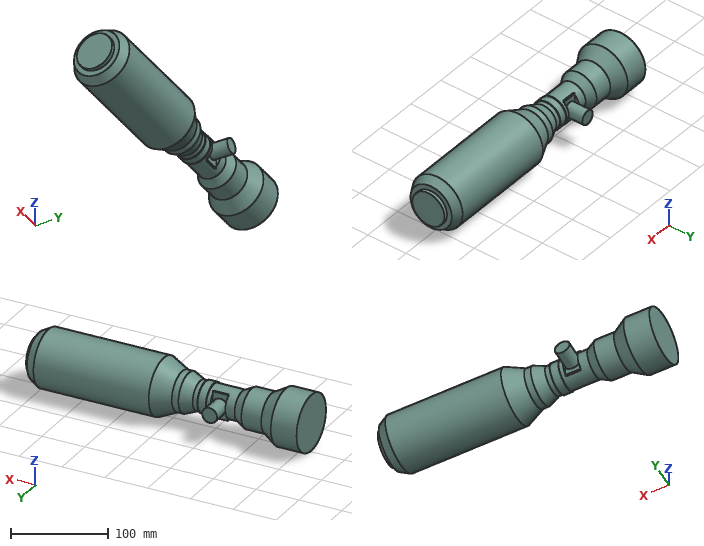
import cadquery as cq

total_length = 322.0

bell_end = 30.0
front_collar_start = 46.5
front_collar_end = 69.5
tube_start = 80.5
ring_start = 113.5
ring_end = 123.5
tube_end = 129.5
rear_collar_start = 143.0
rear_collar_end = 150.5
barrel_start = 172.2
barrel_end = 306.8
cap_start = 317.5

bell_radius = 32.5
collar_radius = 23.0
tube_radius = 17.0
ring_radius = 18.0
barrel_radius = 33.0
barrel_tip_radius = 27.0
cap_radius = 21.0

knob_x = 100.0
knob_radius = 8.7
knob_width = 2 * knob_radius
knob_reach = 34.93
notch_floor_y = 9.5
foot_thickness = 2.0
foot_height = 30.3
foot_top_y = notch_floor_y + foot_thickness


def notch_slab(thickness, height):
    """Slab as wide as the knob, standing on the notch floor and centred on the scope axis."""
    return cq.Workplane("XY").box(
        knob_width, thickness, height, centered=(True, False, True)
    ).translate((knob_x, notch_floor_y, 0))


def make_scope():
    """Turned scope body with a flat-floored notch for the knob."""
    profile = [
        (0, bell_radius),
        (bell_end, bell_radius),
        (front_collar_start, collar_radius),
        (front_collar_end, collar_radius),
        (tube_start, tube_radius),
        (ring_start, tube_radius),
        (ring_start, ring_radius),
        (ring_end, ring_radius),
        (ring_end, tube_radius),
        (tube_end, tube_radius),
        (rear_collar_start, collar_radius),
        (rear_collar_end, collar_radius),
        (barrel_start, barrel_radius),
        (barrel_end, barrel_radius),
        (cap_start, barrel_tip_radius),
        (cap_start, cap_radius),
        (total_length, cap_radius),
    ]
    turned = (
        cq.Workplane("XY")
        .polyline([(0, 0), *profile, (total_length, 0)])
        .close()
        .revolve(360, (0, 0, 0), (1, 0, 0))
    )
    return turned.cut(notch_slab(tube_radius, 2 * tube_radius))


def make_knob():
    """Round stem on a rectangular foot that rests on the notch floor."""
    foot = notch_slab(foot_thickness, foot_height)
    stem = (
        cq.Workplane("XZ", origin=(knob_x, foot_top_y, 0))
        .circle(knob_radius)
        .extrude(foot_top_y - knob_reach)
    )
    return foot.union(stem)


scope = make_scope()
knob = make_knob()
result = cq.Compound.makeCompound([scope.val(), knob.val()])